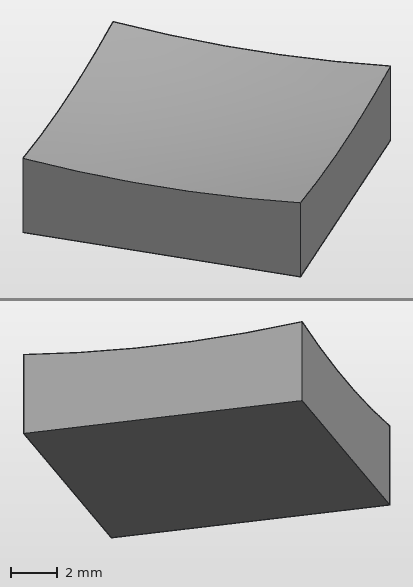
import cadquery as cq
import math

side = 12.5
corner_height = 3.65
center_thickness = 3.0

half_diagonal = side / math.sqrt(2)
corner_sag = corner_height - center_thickness
sphere_radius = (half_diagonal**2 + corner_sag**2) / (2 * corner_sag)
sphere_center_height = center_thickness + sphere_radius


def square_blank():
    """Square block standing on Z = 0, as tall as the finished corners."""
    return cq.Workplane("XY").box(side, side, corner_height, centered=(True, True, False))


def spherical_cutter():
    """Ball above the block, made by turning a half disc about an axis parallel to X."""
    return (
        cq.Workplane("XZ", origin=(0, 0, sphere_center_height))
        .moveTo(-sphere_radius, 0)
        .threePointArc((0, -sphere_radius), (sphere_radius, 0))
        .close()
        .revolve(360, (0, 0, 0), (1, 0, 0))
    )


result = square_blank().cut(spherical_cutter())